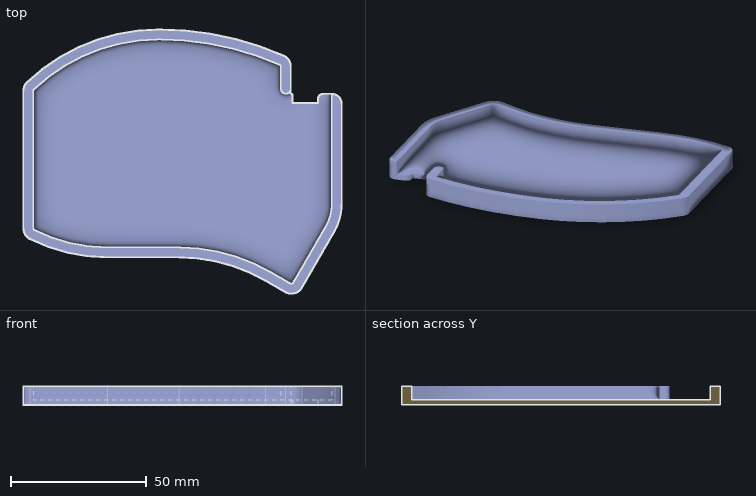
import cadquery as cq
import math

tray_height = 7.0
floor_thickness = 2.0

overall_length = 117.33
overall_width = 97.41
wall = 3.7
corner_radius = 4.5
shoulder_radius = 3.7
edge_overlap = 1.0

apex_x = 50.0
top_left_radius = 70.5
top_right_radius = 114.0
hook_face_x = 98.6

flat_start_x = 31.0
flat_end_x = 57.2
flat_y = 13.4
bottom_left_radius = 63.5
bottom_right_radius = 64.0
slope_angle = math.radians(30)

bend_radius = 20.0

shoulder_y = 73.7
notch_bottom_y = 70.3
notch_left_x = 99.2
notch_right_x = 108.5
notch_left_radius = 0.5
notch_right_radius = 2.0
hook_end_radius = 1.8


def point_on_circle(center, radius, angle):
    """Point of a circle at an angle measured from +X."""
    return (center[0] + radius * math.cos(angle), center[1] + radius * math.sin(angle))


def angle_at_x(center, radius, x):
    """Angle, on the upper half of a circle, of the point with the given x."""
    return math.acos((x - center[0]) / radius)


def slope_ends():
    """Start of the sloped bottom line and the sharp lower tip where it meets a line square to it."""
    arc_end_x = flat_end_x + bottom_right_radius * math.sin(slope_angle)
    arc_end_y = flat_y - bottom_right_radius * (1 - math.cos(slope_angle))
    corner_y = corner_radius - corner_radius * (math.cos(slope_angle) + math.sin(slope_angle))
    corner_x = arc_end_x + (arc_end_y - corner_y) / math.tan(slope_angle)
    return (arc_end_x, arc_end_y), (corner_x, corner_y)


def outline():
    """Closed plan outline with sharp corners, its rim corners, and its shoulder corner."""
    up = math.pi / 2
    apex = (apex_x, overall_width)
    shoulder_corner = (overall_length, shoulder_y)

    left_center = (apex_x, overall_width - top_left_radius)
    left_angle = angle_at_x(left_center, top_left_radius, 0)
    left_top = point_on_circle(left_center, top_left_radius, left_angle)
    left_mid = point_on_circle(left_center, top_left_radius, (left_angle + up) / 2)

    right_center = (apex_x, overall_width - top_right_radius)
    hook_angle = angle_at_x(right_center, top_right_radius, hook_face_x)
    hook_top = point_on_circle(right_center, top_right_radius, hook_angle)
    right_mid = point_on_circle(right_center, top_right_radius, (hook_angle + up) / 2)

    slope_start, tip = slope_ends()
    bend_center_x = overall_length - bend_radius
    bend_end_x = bend_center_x + bend_radius * math.cos(slope_angle)
    bend_end_y = tip[1] + (bend_end_x - tip[0]) / math.tan(slope_angle)
    bend_center = (bend_center_x, bend_end_y + bend_radius * math.sin(slope_angle))
    bend_start = (overall_length, bend_center[1])
    bend_mid = point_on_circle(bend_center, bend_radius, -slope_angle / 2)

    descent_center = (flat_end_x, flat_y - bottom_right_radius)
    descent_mid = point_on_circle(descent_center, bottom_right_radius, up - slope_angle / 2)

    hollow_center = (flat_start_x, flat_y + bottom_left_radius)
    hollow_angle = -angle_at_x(hollow_center, bottom_left_radius, 0)
    left_bottom = point_on_circle(hollow_center, bottom_left_radius, hollow_angle)
    hollow_mid = point_on_circle(hollow_center, bottom_left_radius, (hollow_angle - up) / 2)

    profile = (
        cq.Workplane("XY")
        .moveTo(*left_bottom)
        .lineTo(*left_top)
        .threePointArc(left_mid, apex)
        .threePointArc(right_mid, hook_top)
        .lineTo(hook_face_x, shoulder_y)
        .lineTo(*shoulder_corner)
        .lineTo(*bend_start)
        .threePointArc(bend_mid, (bend_end_x, bend_end_y))
        .lineTo(*tip)
        .lineTo(*slope_start)
        .threePointArc(descent_mid, (flat_end_x, flat_y))
        .lineTo(flat_start_x, flat_y)
        .threePointArc(hollow_mid, left_bottom)
        .close()
    )
    rim_corners = [left_bottom, left_top, hook_top, tip]
    return profile, rim_corners, shoulder_corner


def box_between(x_range, y_range, z_range):
    """Box filling the given (low, high) ranges."""
    size = [high - low for low, high in (x_range, y_range, z_range)]
    corner = (x_range[0], y_range[0], z_range[0])
    return cq.Workplane("XY").box(*size, centered=False).translate(corner)


def upright_edge_at(x, y):
    """Selector for the vertical edge standing at a plan position."""
    reach = 0.05
    return cq.selectors.BoxSelector(
        (x - reach, y - reach, -edge_overlap),
        (x + reach, y + reach, tray_height + edge_overlap),
        boundingbox=False,
    )


def blank(height):
    """Solid slab of the plan outline with its outer corners rounded."""
    profile, rim_corners, shoulder_corner = outline()
    slab = profile.extrude(height)
    for corner in rim_corners:
        slab = slab.edges(upright_edge_at(*corner)).fillet(corner_radius)
    return slab.edges(upright_edge_at(*shoulder_corner)).fillet(shoulder_radius)


def floor():
    """Floor plate with the square-bottomed notch and its rounded mouth."""
    notch = box_between(
        (notch_left_x, notch_right_x),
        (notch_bottom_y, shoulder_y + edge_overlap),
        (-edge_overlap, floor_thickness + edge_overlap),
    )
    plate = blank(floor_thickness).cut(notch)
    plate = plate.edges(upright_edge_at(notch_left_x, shoulder_y)).fillet(notch_left_radius)
    return plate.edges(upright_edge_at(notch_right_x, shoulder_y)).fillet(notch_right_radius)


def rim():
    """Upstanding rim of constant width, open between the hook end and the right side."""
    slab = blank(tray_height)
    inner_wires = slab.faces("<Z").wires().val().offset2D(-wall)
    recess = cq.Workplane("XY").newObject(inner_wires).toPending().extrude(tray_height)
    opening = box_between(
        (hook_face_x - wall, overall_length - wall),
        (notch_bottom_y - edge_overlap, shoulder_y),
        (-edge_overlap, tray_height + edge_overlap),
    )
    wall_loop = slab.cut(recess).cut(opening)
    for x in (hook_face_x - wall, hook_face_x):
        wall_loop = wall_loop.edges(upright_edge_at(x, shoulder_y)).fillet(hook_end_radius)
    return wall_loop


result = floor().union(rim())